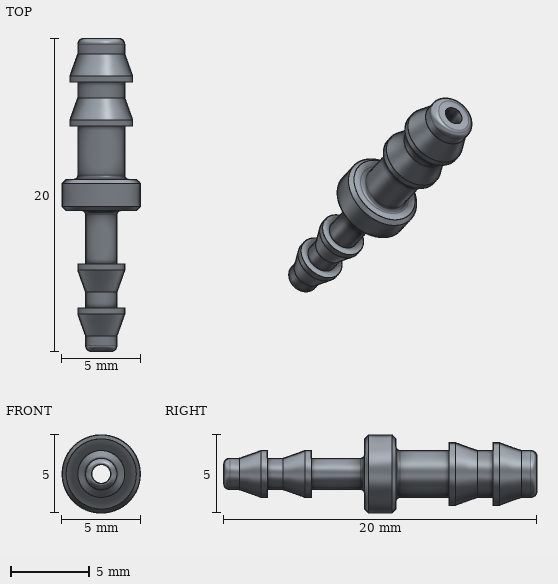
import cadquery as cq
import math

total_length = 20.0
bore_radius = 0.6

collar_radius = 2.5
collar_length = 2.0
collar_chamfer = 0.25
root_fillet = 0.25

large_tube_radius = 1.5
large_barb_radius = 2.0
small_tube_radius = 1.0
small_barb_radius = 1.5

tip_round = 0.4
tip_to_barb = 1.0
barb_length = 1.8
barb_land = 0.4
barb_pitch = 2.8
barb_count = 2

half_length = total_length / 2
collar_half = collar_length / 2


def make_stem(tube_radius, barb_radius, direction):
    """Barbed tube from the collar middle to the tip; direction is +1 or -1 along Y."""

    def point(radius, distance):
        return (radius, direction * distance)

    diagonal = math.sqrt(0.5)
    fillet_mid = root_fillet * (1 - diagonal)
    profile = (
        cq.Workplane("XY")
        .moveTo(0, 0)
        .lineTo(*point(tube_radius + root_fillet, 0))
        .lineTo(*point(tube_radius + root_fillet, collar_half))
        .threePointArc(
            point(tube_radius + fillet_mid, collar_half + fillet_mid),
            point(tube_radius, collar_half + root_fillet),
        )
    )

    for index in reversed(range(barb_count)):
        cone_end = half_length - tip_to_barb - index * barb_pitch
        shoulder = cone_end - barb_length
        profile = (
            profile.lineTo(*point(tube_radius, shoulder))
            .lineTo(*point(barb_radius, shoulder))
            .lineTo(*point(barb_radius, shoulder + barb_land))
            .lineTo(*point(tube_radius, cone_end))
        )

    tip_mid = tip_round * (1 - diagonal)
    profile = (
        profile.lineTo(*point(tube_radius, half_length - tip_round))
        .threePointArc(
            point(tube_radius - tip_mid, half_length - tip_mid),
            point(tube_radius - tip_round, half_length),
        )
        .lineTo(*point(0, half_length))
        .close()
    )
    return profile.revolve(360, (0, 0, 0), (0, 1, 0))


def make_y_cylinder(radius, length):
    """Cylinder along Y, centred on the origin."""
    return cq.Workplane("XZ", origin=(0, -length / 2, 0)).circle(radius).extrude(-length)


collar = make_y_cylinder(collar_radius, collar_length).edges().chamfer(collar_chamfer)
large_stem = make_stem(large_tube_radius, large_barb_radius, 1)
small_stem = make_stem(small_tube_radius, small_barb_radius, -1)
bore = make_y_cylinder(bore_radius, total_length)

result = collar.union(large_stem).union(small_stem).cut(bore)